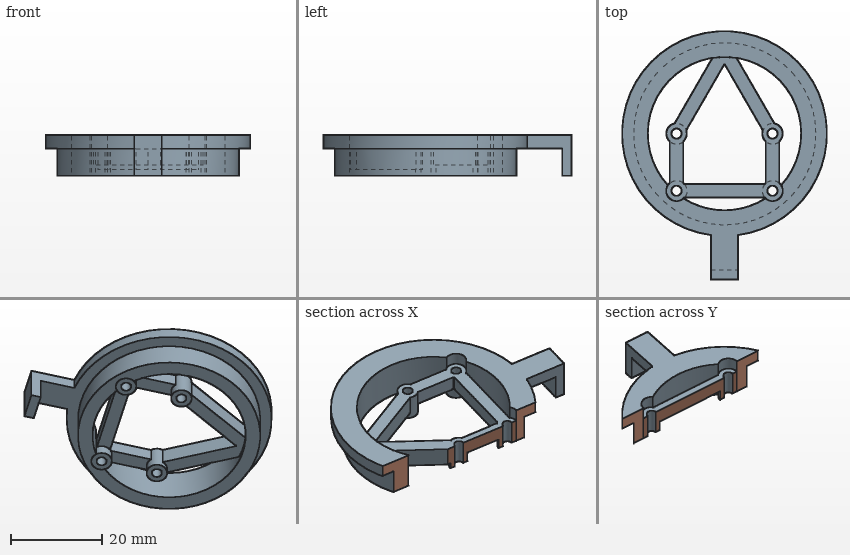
import cadquery as cq
import math

TOTAL_HEIGHT = 9.0
FLANGE_DIAMETER = 44.9
FLANGE_THICKNESS = 3.0
SKIRT_DIAMETER = 39.9
BORE_DIAMETER = 33.5
SKIRT_HEIGHT = TOTAL_HEIGHT - FLANGE_THICKNESS

OVERALL_LENGTH = 54.4
TAB_WIDTH = 6.0
HOOK_THICKNESS = 2.1
TAB_END = OVERALL_LENGTH - FLANGE_DIAMETER / 2

BOSS_DIAMETER = 4.5
BOSS_HOLE_DIAMETER = 2.2
BOSS_X = 10.5
LOWER_BOSS_Y = -12.5
ARM_WIDTH = 3.0
ROOF_ARM_DEPTH = 4.5
LOWER_ARM_DEPTH = 3.5
ROOF_ANGLE = 60.0
FRAME_TOP = SKIRT_HEIGHT
APEX = (0, BOSS_X * math.tan(math.radians(ROOF_ANGLE)))

UPPER_BOSSES = [(-BOSS_X, 0), (BOSS_X, 0)]
LOWER_BOSSES = [(-BOSS_X, LOWER_BOSS_Y), (BOSS_X, LOWER_BOSS_Y)]


def cylinders(points, diameter, height):
    """Upright cylinders standing on Z = 0."""
    return cq.Workplane("XY").pushPoints(points).circle(diameter / 2).extrude(height)


def make_tab():
    """Bar leaving the flange, with a hook down to the bottom of the skirt."""
    bar = (
        cq.Workplane("XY", origin=(0, -TAB_END / 2, SKIRT_HEIGHT))
        .rect(TAB_WIDTH, TAB_END)
        .extrude(FLANGE_THICKNESS)
    )
    hook = (
        cq.Workplane("XY", origin=(0, -TAB_END + HOOK_THICKNESS / 2, 0))
        .rect(TAB_WIDTH, HOOK_THICKNESS)
        .extrude(TOTAL_HEIGHT)
    )
    return bar.union(hook)


def make_ring():
    """Flanged ring with its tab and the seats for the two lower bosses."""
    skirt = cylinders([(0, 0)], SKIRT_DIAMETER, SKIRT_HEIGHT)
    flange = cylinders([(0, 0)], FLANGE_DIAMETER, FLANGE_THICKNESS).translate((0, 0, SKIRT_HEIGHT))
    bore = cylinders([(0, 0)], BORE_DIAMETER, TOTAL_HEIGHT)
    boss_seats = cylinders(LOWER_BOSSES, BOSS_DIAMETER, TOTAL_HEIGHT)
    return skirt.union(flange).union(make_tab()).cut(bore).cut(boss_seats)


def make_arm(start, end, depth):
    """Straight bar with round ends, centred on the line from start to end."""
    run = end[0] - start[0]
    rise = end[1] - start[1]
    middle = ((start[0] + end[0]) / 2, (start[1] + end[1]) / 2, FRAME_TOP - depth)
    return (
        cq.Workplane("XY")
        .slot2D(math.hypot(run, rise) + ARM_WIDTH, ARM_WIDTH)
        .extrude(depth)
        .rotate((0, 0, 0), (0, 0, 1), math.degrees(math.atan2(rise, run)))
        .translate(middle)
    )


def make_frame():
    """Five arms joining four drilled bosses, trimmed to the bore at the apex."""
    lower_left, lower_right = LOWER_BOSSES
    arms = make_arm(lower_left, lower_right, LOWER_ARM_DEPTH)
    for lower, upper in zip(LOWER_BOSSES, UPPER_BOSSES):
        arms = arms.union(make_arm(lower, upper, LOWER_ARM_DEPTH))
        arms = arms.union(make_arm(upper, APEX, ROOF_ARM_DEPTH))
    arms = arms.intersect(cylinders([(0, 0)], BORE_DIAMETER, TOTAL_HEIGHT))

    bosses = UPPER_BOSSES + LOWER_BOSSES
    holes = cylinders(bosses, BOSS_HOLE_DIAMETER, FRAME_TOP)
    return arms.union(cylinders(bosses, BOSS_DIAMETER, FRAME_TOP)).cut(holes)


ring = make_ring()
frame = make_frame()

result = cq.Compound.makeCompound([ring.val(), frame.val()])